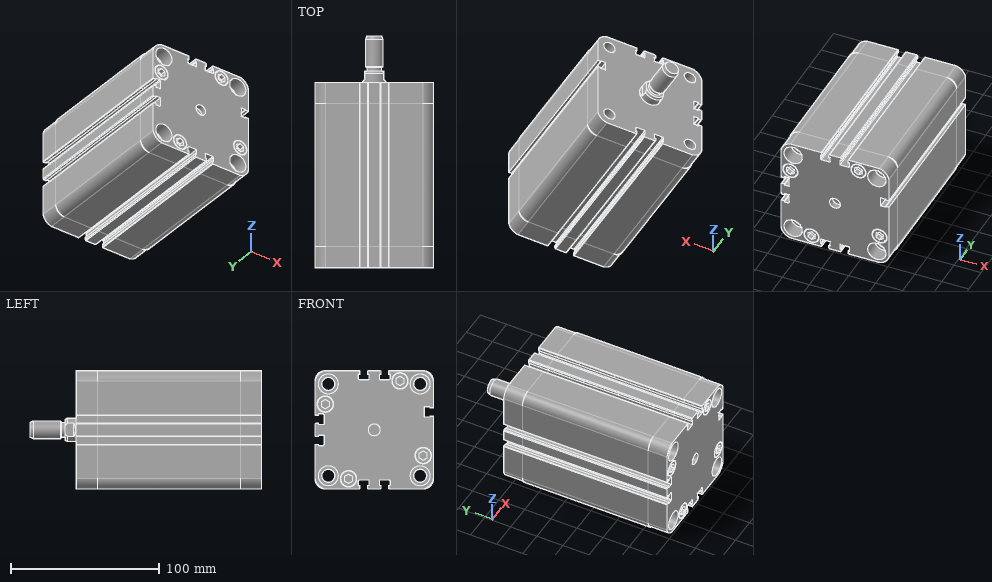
import cadquery as cq
import math


OVERALL_LENGTH = 156.5
ROD_LENGTH = 31.3
BODY_WIDTH = 80.0
HALF_WIDTH = BODY_WIDTH / 2
BODY_LENGTH = OVERALL_LENGTH - ROD_LENGTH
CAP_LENGTH = 14.4
TUBE_LENGTH = BODY_LENGTH - 2 * CAP_LENGTH
CORNER_SIZE = 7.0
CAP_CORNER_RADIUS = 9.0

SLOT_OFFSET = 7.2
SLOT_DEPTH = 6.1
SLOT_LIP = 2.5
SLOT_MOUTH = 5.2
SLOT_POCKET = 7.0
SLOT_INNER_BEVEL = 0.6
SLOT_OUTER_BEVEL = 0.3
SLOT_FLOOR_BEVEL = 0.6
SIDE_SLOT_HEIGHT = 12.0
SIDE_SLOT_MOUTH = 5.6
SIDE_SLOT_POCKET = 6.7

MOUNT_SPACING = 62.0
MOUNT_HOLE_DIAMETER = 8.6
COUNTERBORE_DIAMETER = 13.5
COUNTERBORE_DEPTH = 11.0

SCREW_NEAR = 17.4
SCREW_FAR = 33.0
SCREW_BORE_DIAMETER = 11.1
SCREW_HEAD_DIAMETER = 10.5
SCREW_GAP_DEPTH = 1.5
SCREW_SOCKET_WIDTH = 5.5
SCREW_SOCKET_DEPTH = 3.9

CENTRE_HOLE_DIAMETER = 8.0
CENTRE_HOLE_DEPTH = 4.7

COLLAR_DIAMETER = 16.0
COLLAR_LENGTH = 7.5
COLLAR_CHAMFER_LENGTH = 1.7
COLLAR_CHAMFER_DEPTH = 1.0
FLATS_WIDTH = 13.0
FLATS_START = 1.7
FLATS_RAMP = 1.3
NECK_DIAMETER = 10.0
NECK_LENGTH = 2.3
THREAD_DIAMETER = 12.0
THREAD_RUNOUT = 0.6
TIP_DIAMETER = 10.0
TIP_LENGTH = 2.5


def plane_at(y):
    """XZ plane at the given Y, with local axes along +X and +Z and its normal along -Y."""
    return cq.Workplane("XZ", origin=(0, y, 0))


def rotate_point(x, z, turn):
    """Rotate a point of the cross-section about the cylinder axis by an angle in radians."""
    return (
        x * math.cos(turn) - z * math.sin(turn),
        x * math.sin(turn) + z * math.cos(turn),
    )


def housing_section(y_start, length, corner_radius):
    """Square bar whose corners are arcs that all start CORNER_SIZE away from the sharp corner."""
    inner = HALF_WIDTH - CORNER_SIZE
    half_chord = CORNER_SIZE / math.sqrt(2)
    sagitta = corner_radius - math.sqrt(corner_radius**2 - half_chord**2)
    outline = plane_at(y_start).moveTo(inner, -HALF_WIDTH)
    for quarter in range(4):
        turn = math.radians(90 * quarter)
        corner_start = rotate_point(inner, -HALF_WIDTH, turn)
        corner_end = rotate_point(HALF_WIDTH, -inner, turn)
        if quarter > 0:
            outline = outline.lineTo(*corner_start)
        outline = outline.sagittaArc(corner_end, -sagitta)
    return outline.close().extrude(-length)


def paired_slot():
    """T-slot of the +X half of the top face, bevelled at its mouth and outer floor corner."""
    mouth_in = SLOT_OFFSET - SLOT_MOUTH / 2
    mouth_out = SLOT_OFFSET + SLOT_MOUTH / 2
    pocket_in = SLOT_OFFSET - SLOT_POCKET / 2
    pocket_out = SLOT_OFFSET + SLOT_POCKET / 2
    lip = HALF_WIDTH - SLOT_LIP
    floor = HALF_WIDTH - SLOT_DEPTH
    outline = [
        (mouth_in - SLOT_INNER_BEVEL, HALF_WIDTH),
        (mouth_in, HALF_WIDTH - SLOT_INNER_BEVEL),
        (mouth_in, lip),
        (pocket_in, lip),
        (pocket_in, floor),
        (pocket_out - SLOT_FLOOR_BEVEL, floor),
        (pocket_out, floor + SLOT_FLOOR_BEVEL),
        (pocket_out, lip),
        (mouth_out, lip),
        (mouth_out, HALF_WIDTH - SLOT_OUTER_BEVEL),
        (mouth_out + SLOT_OUTER_BEVEL, HALF_WIDTH),
    ]
    return plane_at(0).polyline(outline).close().extrude(-BODY_LENGTH)


def side_slot():
    """Single plain T-slot in the +X face."""
    pocket_depth = SLOT_DEPTH - SLOT_LIP
    mouth = (
        plane_at(0)
        .center(HALF_WIDTH - SLOT_DEPTH / 2, SIDE_SLOT_HEIGHT)
        .rect(SLOT_DEPTH, SIDE_SLOT_MOUTH)
        .extrude(-BODY_LENGTH)
    )
    pocket = (
        plane_at(0)
        .center(HALF_WIDTH - SLOT_LIP - pocket_depth / 2, SIDE_SLOT_HEIGHT)
        .rect(pocket_depth, SIDE_SLOT_POCKET)
        .extrude(-BODY_LENGTH)
    )
    return mouth.union(pocket)


def cut_slots(body):
    slot = paired_slot()
    mirrored_slot = slot.mirror("YZ")
    for angle in (0, -90, 180):
        for half in (slot, mirrored_slot):
            body = body.cut(half.rotate((0, 0, 0), (0, 1, 0), angle), clean=False)
    return body.cut(side_slot(), clean=False)


def make_housing():
    closed_cap = housing_section(0, CAP_LENGTH, CAP_CORNER_RADIUS)
    tube = housing_section(CAP_LENGTH, TUBE_LENGTH, CORNER_SIZE)
    rod_cap = housing_section(BODY_LENGTH - CAP_LENGTH, CAP_LENGTH, CAP_CORNER_RADIUS)
    housing = cut_slots(closed_cap)
    for section in (tube, rod_cap):
        housing = housing.union(cut_slots(section), clean=False)
    return housing


def cut_mounting_holes(body):
    half = MOUNT_SPACING / 2
    centres = [(x, z) for x in (-half, half) for z in (-half, half)]
    holes = plane_at(0).pushPoints(centres).circle(MOUNT_HOLE_DIAMETER / 2).extrude(-BODY_LENGTH)
    bores = plane_at(0).pushPoints(centres).circle(COUNTERBORE_DIAMETER / 2).extrude(-COUNTERBORE_DEPTH)
    return body.cut(holes, clean=False).cut(bores, clean=False)


def cut_cap_screws(body):
    """Four flush socket screws: a ring gap around each head and a hexagonal socket in it."""
    socket_diameter = SCREW_SOCKET_WIDTH / math.cos(math.pi / 6)
    for quarter in range(4):
        x, z = rotate_point(SCREW_NEAR, SCREW_FAR, math.radians(90 * quarter))
        gap = (
            plane_at(0)
            .center(x, z)
            .circle(SCREW_BORE_DIAMETER / 2)
            .circle(SCREW_HEAD_DIAMETER / 2)
            .extrude(-SCREW_GAP_DEPTH)
        )
        socket = plane_at(0).polygon(6, socket_diameter).extrude(-SCREW_SOCKET_DEPTH)
        socket = socket.rotate((0, 0, 0), (0, 1, 0), 30).translate((x, 0, z))
        body = body.cut(gap, clean=False).cut(socket, clean=False)
    return body


def cut_centre_hole(body):
    hole = plane_at(0).circle(CENTRE_HOLE_DIAMETER / 2).extrude(-CENTRE_HOLE_DEPTH)
    return body.cut(hole, clean=False)


def make_rod():
    """Turned rod with a collar, an undercut neck and a tapered tip; wrench flats on the collar."""
    collar_end = BODY_LENGTH + COLLAR_LENGTH
    neck_end = collar_end + NECK_LENGTH
    collar_radius = COLLAR_DIAMETER / 2
    profile = [
        (0, BODY_LENGTH),
        (collar_radius, BODY_LENGTH),
        (collar_radius, collar_end - COLLAR_CHAMFER_LENGTH),
        (collar_radius - COLLAR_CHAMFER_DEPTH, collar_end),
        (NECK_DIAMETER / 2, collar_end),
        (NECK_DIAMETER / 2, neck_end),
        (THREAD_DIAMETER / 2, neck_end + THREAD_RUNOUT),
        (THREAD_DIAMETER / 2, OVERALL_LENGTH - TIP_LENGTH),
        (TIP_DIAMETER / 2, OVERALL_LENGTH),
        (0, OVERALL_LENGTH),
    ]
    rod = cq.Workplane("XY").polyline(profile).close().revolve(360, (0, 0, 0), (0, 1, 0))

    flats_start = BODY_LENGTH + FLATS_START
    flat_cutter = (
        cq.Workplane("XY")
        .polyline(
            [
                (FLATS_WIDTH / 2, flats_start),
                (collar_radius, flats_start - FLATS_RAMP),
                (collar_radius, collar_end),
                (FLATS_WIDTH / 2, collar_end),
            ]
        )
        .close()
        .extrude(collar_radius, both=True)
    )
    return rod.cut(flat_cutter).cut(flat_cutter.mirror("YZ"))


housing = make_housing()
housing = cut_mounting_holes(housing)
housing = cut_cap_screws(housing)
housing = cut_centre_hole(housing)
result = housing.union(make_rod(), clean=False)